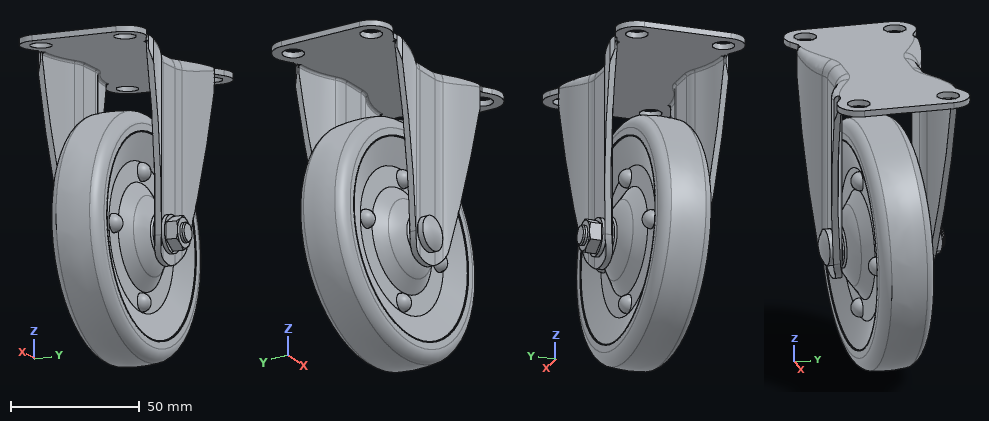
import cadquery as cq
import math


plate_top = 73.0
sheet = 2.5
plate_bottom = plate_top - sheet
axle_radius = 4.0
web_outer = 18.3
web_inner = web_outer - sheet

hole_x = 40.0
hole_y = 18.0
hole_diameter = 8.7
corner_radius = 8.5
plate_half_x = hole_x + corner_radius
notch_y = 23.1
notch_x = 29.4
notch_slope = 30.0

web_half_width = 5.5
bend_half_width = 9.6
flare_angle = 30.0
bend_radius = (bend_half_width - web_half_width) / math.sin(math.radians(flare_angle))
wing_radius = 40.0
wing_sweep = flare_angle + 3.0
leg_edge_x = 28.0
leg_edge_y = 24.8
leg_tip_radius = 12.3
leg_taper = 13.9
web_fillet = 5.4
wing_fillet = 1.5
inside_fillet = 1.0
edge_flare = 1.0
edge_flare_width = 0.8

wheel_radius = 50.0
face_y = 10.95
crown_half_width = 7.2
crown_edge_radius = 49.5
face_outer_radius = 44.2
lip_radius = 41.3
lip_inner_radius = 40.9
lip_depth = 0.4
disc_radius = 30.0
disc_y = 6.5
hub_base_radius = 21.6
hub_shoulder_radius = 16.0
hub_shoulder_y = 10.5
hub_dome_radius = 12.1
hub_dome_y = 13.1
boss_base_radius = 8.6
boss_base_y = 14.3
boss_radius = 7.9
boss_chamfer_y = 15.1
rivet_circle_radius = 26.1
rivet_radius = 3.8
rivet_count = 4

head_radius = 7.2
head_rim = 2.5
head_dome = 2.4
washer_radius = 7.7
washer_thickness = 1.6
nut_across_flats = 12.1
nut_height = 4.9
nut_chamfer = 0.9
bolt_end = 26.5
bolt_chamfer = 0.7


def polar(radius, angle):
    """Offset at an angle measured from +Y towards +X."""
    a = math.radians(angle)
    return radius * math.sin(a), radius * math.cos(a)


def leg_curve(offset):
    """Plan of one leg face and its half of the block, offset inward from the outer face."""
    y_web = web_outer - offset
    bend_centre = y_web + bend_radius + offset
    wing_centre_x = web_half_width + polar(bend_radius + wing_radius, flare_angle)[0]
    wing_centre_y = bend_centre - polar(bend_radius + wing_radius, flare_angle)[1]

    def on_bend(angle):
        dx, dy = polar(bend_radius + offset, angle)
        return web_half_width + dx, bend_centre - dy

    def on_wing(angle):
        dx, dy = polar(wing_radius - offset, angle)
        return wing_centre_x - dx, wing_centre_y + dy

    bend_mid = on_bend(flare_angle / 2)
    bend_end = on_bend(flare_angle)
    wing_mid = on_wing(flare_angle - wing_sweep / 2)
    wing_end = on_wing(flare_angle - wing_sweep)

    def mirrored(point):
        return -point[0], point[1]

    return (
        cq.Workplane("XY")
        .moveTo(-wing_end[0], 0)
        .lineTo(*mirrored(wing_end))
        .threePointArc(mirrored(wing_mid), mirrored(bend_end))
        .threePointArc(mirrored(bend_mid), (-web_half_width, y_web))
        .lineTo(web_half_width, y_web)
        .threePointArc(bend_mid, bend_end)
        .threePointArc(wing_mid, wing_end)
        .lineTo(wing_end[0], 0)
        .close()
    )


def top_edges(block):
    """Top edges of a half block that belong to the leg face, in order of X."""
    edges = block.faces(">Z").edges().vals()
    edges = [e for e in edges if e.Center().y > 1 and abs(e.Center().x) < leg_edge_x]
    return sorted(edges, key=lambda e: e.Center().x)


def fillet_tapering_to_ends(block):
    """Round the plate-to-leg bend: constant over the web, tapering along both wings."""
    left_wing, left_bend, web, right_bend, right_wing = top_edges(block)
    maker = cq.occ_impl.shapes.BRepFilletAPI_MakeFillet(block.val().wrapped)
    maker.Add(web_fillet, web.wrapped)
    for index in range(1, maker.NbEdges(1) + 1):
        edge = cq.Edge(maker.Edge(1, index))
        if edge.isSame(left_wing) or edge.isSame(right_wing):
            first = index == 1
            radii = (wing_fillet, web_fillet) if first else (web_fillet, wing_fillet)
            maker.SetRadius(*radii, 1, index)
    return cq.Workplane(cq.Shape.cast(maker.Shape()))


def make_half_channel():
    """The +Y half of the channel formed by the plate middle and one leg."""
    outer = leg_curve(0).extrude(plate_top + leg_tip_radius)
    outer = fillet_tapering_to_ends(outer)
    inner = leg_curve(sheet).extrude(plate_bottom + leg_tip_radius)
    inner = inner.newObject(top_edges(inner)).fillet(inside_fillet)
    return outer.cut(inner).translate((0, 0, -leg_tip_radius))


def leg_side_profile():
    """Tapered leg with a rounded tip, topped by the full width of the plate middle."""
    tangent_x, tangent_drop = polar(leg_tip_radius, 90 - leg_taper)
    edge_x = tangent_x + (plate_bottom + tangent_drop) * math.tan(math.radians(leg_taper))
    return (
        cq.Workplane("XZ")
        .moveTo(-tangent_x, -tangent_drop)
        .threePointArc((0, -leg_tip_radius), (tangent_x, -tangent_drop))
        .lineTo(edge_x, plate_bottom)
        .lineTo(edge_x, plate_top)
        .lineTo(-edge_x, plate_top)
        .lineTo(-edge_x, plate_bottom)
        .close()
        .extrude(plate_half_x, both=True)
    )


def leg_end_trim():
    """Plan prism that gives the wings their slanted upper end faces."""
    corners = [
        (notch_x, -notch_y),
        (notch_x, notch_y),
        (leg_edge_x, leg_edge_y),
        (-leg_edge_x, leg_edge_y),
        (-notch_x, notch_y),
        (-notch_x, -notch_y),
        (-leg_edge_x, -leg_edge_y),
        (leg_edge_x, -leg_edge_y),
    ]
    height = plate_top + leg_tip_radius
    return cq.Workplane("XY", origin=(0, 0, -leg_tip_radius)).polyline(corners).close().extrude(height)


def make_plate_end():
    """The +X end of the plate: two round corner lobes sloping down to the notches."""
    dx, dy = polar(corner_radius, notch_slope)
    lobe_start = (hole_x - dx, hole_y + dy)
    slope_run = (lobe_start[1] - notch_y) / math.tan(math.radians(notch_slope))
    lobe_top = (hole_x, hole_y + corner_radius)
    lobe_side = (plate_half_x, hole_y)
    half = (
        cq.Workplane("XY", origin=(0, 0, plate_bottom))
        .moveTo(notch_x, 0)
        .lineTo(notch_x, notch_y)
        .lineTo(lobe_start[0] - slope_run, notch_y)
        .lineTo(*lobe_start)
        .threePointArc(lobe_top, lobe_side)
        .lineTo(plate_half_x, 0)
        .close()
        .extrude(sheet)
    )
    return half.union(half.mirror("XZ"))


def make_edge_flare():
    """Concave fillet under the plate, beside the upper end face of the +X +Y wing."""
    mid_offset = edge_flare * (1 - math.sqrt(0.5))
    return (
        cq.Workplane("XZ", origin=(notch_x, notch_y, plate_bottom))
        .lineTo(0, -edge_flare)
        .threePointArc((mid_offset, -mid_offset), (edge_flare, 0))
        .close()
        .extrude(edge_flare_width)
    )


def make_bracket():
    half_channel = make_half_channel()
    channel = half_channel.union(half_channel.mirror("XZ"))
    channel = channel.intersect(leg_side_profile()).intersect(leg_end_trim())
    edge_flare_pair = make_edge_flare()
    edge_flare_pair = edge_flare_pair.union(edge_flare_pair.mirror("XZ"))
    plate_end = make_plate_end().union(edge_flare_pair)
    bracket = channel.union(plate_end).union(plate_end.mirror("YZ"))
    plate_holes = (
        cq.Workplane("XY", origin=(0, 0, plate_bottom))
        .rect(2 * hole_x, 2 * hole_y, forConstruction=True)
        .vertices()
        .circle(hole_diameter / 2)
        .extrude(sheet)
    )
    return bracket.cut(plate_holes)


def make_half_wheel():
    """The +Y half of the wheel without its crown, revolved from x as radius, y as axial place."""
    return (
        cq.Workplane("XY")
        .moveTo(axle_radius, 0)
        .lineTo(axle_radius, web_inner)
        .lineTo(boss_radius, web_inner)
        .lineTo(boss_radius, boss_chamfer_y)
        .lineTo(boss_base_radius, boss_base_y)
        .threePointArc((hub_dome_radius, hub_dome_y), (hub_shoulder_radius, hub_shoulder_y))
        .lineTo(hub_base_radius, disc_y)
        .lineTo(disc_radius, disc_y)
        .lineTo(lip_inner_radius, face_y - lip_depth)
        .lineTo(lip_radius, face_y - lip_depth)
        .lineTo(lip_radius, face_y)
        .lineTo(face_outer_radius, face_y)
        .tangentArcPoint((crown_edge_radius, crown_half_width), relative=False)
        .lineTo(crown_edge_radius, 0)
        .close()
        .revolve(360, (0, 0, 0), (0, 1, 0))
    )


def make_crown():
    """The shallow convex ring of the tread, across the middle of the rim."""
    return (
        cq.Workplane("XY")
        .moveTo(crown_edge_radius, -crown_half_width)
        .threePointArc((wheel_radius, 0), (crown_edge_radius, crown_half_width))
        .close()
        .revolve(360, (0, 0, 0), (0, 1, 0))
    )


def make_wheel():
    half = make_half_wheel()
    for index in range(rivet_count):
        x, z = polar(rivet_circle_radius, index * 360 / rivet_count)
        rivet = cq.Workplane("XY").sphere(rivet_radius).translate((x, disc_y, z))
        half = half.union(rivet)
    return half.union(half.mirror("XZ")).union(make_crown())


def make_axle():
    """Domed bolt with its washer and nut, on the Y axis with the head at -Y."""
    washer_face = web_outer + washer_thickness
    head_rim_y = -web_outer - head_rim
    head_end = head_rim_y - head_dome
    dome_radius = (head_radius ** 2 + head_dome ** 2) / (2 * head_dome)
    dome_mid_x = head_radius / 2
    dome_mid_y = head_end + dome_radius - math.sqrt(dome_radius ** 2 - dome_mid_x ** 2)
    bolt = (
        cq.Workplane("XY")
        .moveTo(0, head_end)
        .threePointArc((dome_mid_x, dome_mid_y), (head_radius, head_rim_y))
        .lineTo(head_radius, -web_outer)
        .lineTo(axle_radius, -web_outer)
        .lineTo(axle_radius, web_outer)
        .lineTo(washer_radius, web_outer)
        .lineTo(washer_radius, washer_face)
        .lineTo(axle_radius, washer_face)
        .lineTo(axle_radius, bolt_end - bolt_chamfer)
        .lineTo(axle_radius - bolt_chamfer / 2, bolt_end)
        .lineTo(0, bolt_end)
        .close()
        .revolve(360, (0, 0, 0), (0, 1, 0))
    )
    nut_across_corners = nut_across_flats / math.cos(math.radians(30))
    nut = (
        cq.Workplane("XZ", origin=(0, washer_face, 0))
        .transformed(rotate=(0, 0, 90))
        .polygon(6, nut_across_corners)
        .extrude(-nut_height)
    )
    nut_cone = (
        cq.Workplane("XZ", origin=(0, washer_face, 0))
        .circle(nut_across_corners / 2)
        .extrude(-nut_height)
        .faces(">Y")
        .chamfer(nut_chamfer / 2, nut_chamfer)
    )
    return bolt.union(nut.intersect(nut_cone))


axle = make_axle()
wheel = make_wheel()
bracket = make_bracket().cut(axle)

bodies = [bracket, wheel, axle]
result = cq.Compound.makeCompound([body.solids().val() for body in bodies])